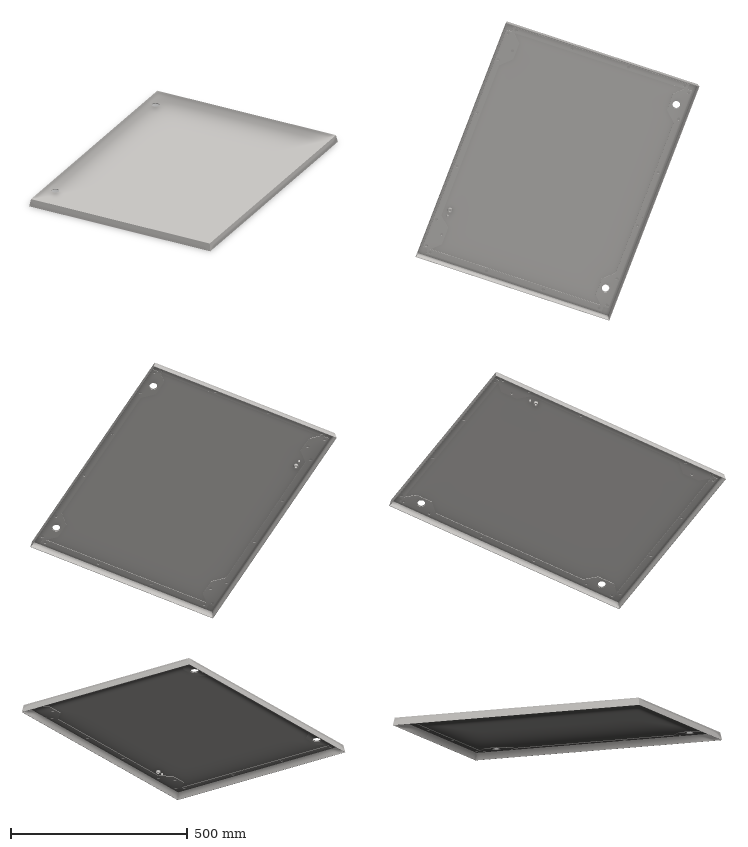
import cadquery as cq
import math

WIDTH = 584.0
LENGTH = 764.0
HEIGHT = 22.0
WALL_TILT = 10.0
SHEET = 1.5

FRAME_THICKNESS = 1.5
FRAME_X = 280.5
FRAME_Y = 370.5
STRIP_WIDTH = 17.5
NOTCH_X = 265.0
NOTCH_Y = 354.5

PAD_X = 231.5
PAD_Y = 302.0
PAD_FLAT = 52.0

CORNER_HOLE_Y = 299.5
HINGE_DIAMETER = 21.5
HINGE_CLEARANCE_DIAMETER = 25.0
HINGE_X = -251.0
LOCK_DIAMETER = 8.5
LOCK_X = 242.0
SCREW_DIAMETER = 8.5
SIDE_SCREW_X = 272.0
SIDE_SCREW_Y = (87.0, 260.5, 346.0)
END_SCREW_X = (85.0, 254.5)
END_SCREW_Y = 362.0

STUD_X = 245.0
STUD_LENGTH = 8.0
STANDOFF_Y = -221.0
STANDOFF_DIAMETER = 13.0
STANDOFF_BORE = 6.0
STUD_Y = -240.0
STUD_DIAMETER = 6.0

TOP_UNDERSIDE = HEIGHT - SHEET
STRIP_INNER_X = FRAME_X - STRIP_WIDTH
STRIP_INNER_Y = FRAME_Y - STRIP_WIDTH
PAD_START = PAD_Y - PAD_FLAT / 2
PAD_END = PAD_Y + PAD_FLAT / 2
MITRE_OFFSET = PAD_END - PAD_X
JOINT_END = (NOTCH_X, NOTCH_X + MITRE_OFFSET)


def frustum(width, length, height):
    return cq.Workplane("XY").rect(width, length).extrude(height, taper=WALL_TILT)


def cylinders(points, diameter, bottom, height):
    base = cq.Workplane("XY").workplane(offset=bottom)
    return base.pushPoints(points).circle(diameter / 2).extrude(height)


def hinge_holes(diameter):
    points = [(HINGE_X, -CORNER_HOLE_Y), (HINGE_X, CORNER_HOLE_Y)]
    return cylinders(points, diameter, 0, HEIGHT)


def make_panel():
    inset = SHEET / math.cos(math.radians(WALL_TILT))
    cavity = frustum(WIDTH - 2 * inset, LENGTH - 2 * inset, TOP_UNDERSIDE)
    panel = frustum(WIDTH, LENGTH, HEIGHT).cut(cavity).cut(hinge_holes(HINGE_DIAMETER))
    bottom = TOP_UNDERSIDE - STUD_LENGTH
    standoff = cylinders([(STUD_X, STANDOFF_Y)], STANDOFF_DIAMETER, bottom, STUD_LENGTH)
    bore = cylinders([(STUD_X, STANDOFF_Y)], STANDOFF_BORE, bottom, STUD_LENGTH)
    stud = cylinders([(STUD_X, STUD_Y)], STUD_DIAMETER, bottom, STUD_LENGTH)
    panel = panel.union(standoff.cut(bore)).union(stud)
    return panel


def strip_plate(points):
    base = cq.Workplane("XY").workplane(offset=TOP_UNDERSIDE - FRAME_THICKNESS)
    return base.polyline(points).close().extrude(FRAME_THICKNESS)


def make_side_strip(side):
    half = [
        (STRIP_INNER_X, PAD_START - (STRIP_INNER_X - PAD_X)),
        (PAD_X, PAD_START),
        (PAD_X, PAD_END),
        JOINT_END,
        (NOTCH_X, NOTCH_Y),
        (FRAME_X, NOTCH_Y),
    ]
    outline = half + [(x, -y) for x, y in reversed(half)]
    strip = strip_plate([(side * x, y) for x, y in outline])
    screws = [(side * SIDE_SCREW_X, end * y) for y in SIDE_SCREW_Y for end in (-1, 1)]
    strip = strip.cut(cylinders(screws, SCREW_DIAMETER, 0, TOP_UNDERSIDE))
    if side < 0:
        return strip.cut(hinge_holes(HINGE_CLEARANCE_DIAMETER))
    locks = [(LOCK_X, -CORNER_HOLE_Y), (LOCK_X, CORNER_HOLE_Y)]
    return strip.cut(cylinders(locks, LOCK_DIAMETER, 0, TOP_UNDERSIDE))


def make_end_strip(end):
    half = [
        (STRIP_INNER_Y - MITRE_OFFSET, STRIP_INNER_Y),
        JOINT_END,
        (NOTCH_X, FRAME_Y),
    ]
    outline = half + [(-x, y) for x, y in reversed(half)]
    strip = strip_plate([(x, end * y) for x, y in outline])
    screws = [(side * x, end * END_SCREW_Y) for x in END_SCREW_X for side in (-1, 1)]
    return strip.cut(cylinders(screws, SCREW_DIAMETER, 0, TOP_UNDERSIDE))


panel = make_panel()
side_strips = [make_side_strip(side) for side in (-1, 1)]
end_strips = [make_end_strip(end) for end in (-1, 1)]

result = cq.Compound.makeCompound(
    [panel.val(), *[strip.val() for strip in side_strips], *[strip.val() for strip in end_strips]]
)